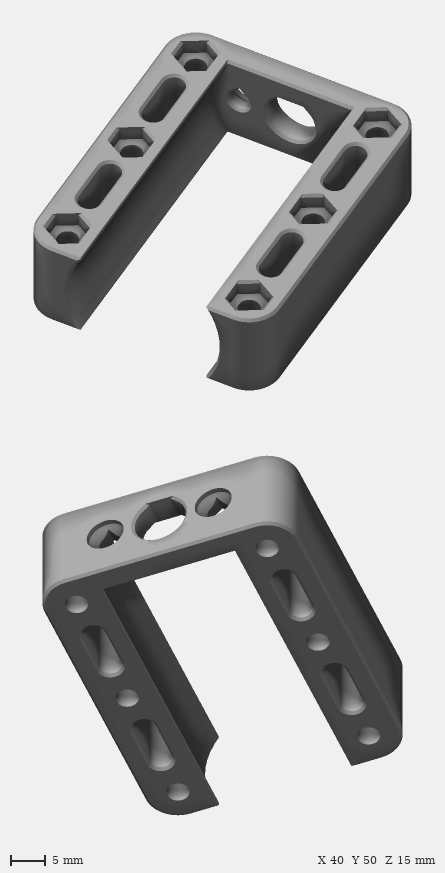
import cadquery as cq
import math

width = 40.0
length = 50.0
height = 15.0
corner_radius = 5.0
edge_chamfer = 0.4
overlap = 0.5

channel_radius = 12.55
back_wall = 4.0
wall_face_y = length / 2 - back_wall

center_hole_radius = 4.0
side_hole_radius = 1.7
side_hole_x = 8.5

head_radius = 2.9
head_recess_depth = 2.0
head_cone_depth = head_radius - side_hole_radius

arm_x = width / 2 - corner_radius
screw_pitch = length / 2 - corner_radius
screw_diameter = 3.4
nut_apothem = 2.9
nut_depth = 2.5
slot_width = 3.5
slot_length = 10.0


def body():
    """Block with rounded corners and bevelled top and bottom rims."""
    block = cq.Workplane("XY").box(width, length, height)
    return block.edges("|Z").fillet(corner_radius).faces("<Z or >Z").chamfer(edge_chamfer)


def channel():
    """Round channel along Y, open above and below, with a bevelled mouth."""
    mouth_y = -length / 2
    bore_length = length - back_wall + overlap
    bore = cq.Workplane("XZ", origin=(0, wall_face_y, 0)).circle(channel_radius).extrude(bore_length)
    mouth = cq.Workplane("XZ", origin=(0, mouth_y, 0)).circle(channel_radius + edge_chamfer)
    mouth = mouth.workplane(offset=-edge_chamfer).circle(channel_radius).loft(combine=True)
    return bore.union(mouth)


def channel_rims():
    """Bevels where the channel and back wall meet the top and bottom faces."""
    rim_base = height / 2 - edge_chamfer
    base_width = 2 * math.sqrt(channel_radius**2 - rim_base**2)
    top_width = 2 * math.sqrt(channel_radius**2 - (height / 2) ** 2) + 2 * edge_chamfer
    rim_length = length - back_wall + overlap
    rim = cq.Workplane("XY", origin=(0, wall_face_y - rim_length / 2, rim_base))
    rim = rim.rect(base_width, rim_length).workplane(offset=edge_chamfer)
    rim = rim.rect(top_width, rim_length + 2 * edge_chamfer).loft(combine=True)
    return rim.union(rim.mirror("XY"))


def teardrop(plane, radius):
    """Circle with a 45 degree point on its +Z side, drawn on an XZ workplane."""
    tangent = radius * math.sqrt(0.5)
    point = plane.moveTo(0, radius * math.sqrt(2)).lineTo(tangent, tangent)
    return point.threePointArc((0, -radius), (-tangent, tangent)).close()


def wall_hole(x, radius):
    """Teardrop hole through the back wall, bevelled on the channel side."""
    start = cq.Workplane("XZ", origin=(x, wall_face_y, 0))
    hole = teardrop(start, radius).extrude(-back_wall - overlap)
    bevel = teardrop(start, radius + edge_chamfer).workplane(offset=-edge_chamfer)
    bevel = teardrop(bevel, radius).loft(combine=True)
    return hole.union(bevel)


def center_hole():
    """Large teardrop hole, bevelled at both ends, its point cut level with its circle's top."""
    hole = wall_hole(0, center_hole_radius)
    bevel = teardrop(cq.Workplane("XZ", origin=(0, length / 2, 0)), center_hole_radius + edge_chamfer)
    bevel = teardrop(bevel.workplane(offset=edge_chamfer), center_hole_radius).loft(combine=True)
    below_flat = cq.Workplane("XY").box(width, 2 * length, height)
    below_flat = below_flat.translate((0, 0, center_hole_radius - height / 2))
    return hole.union(bevel).intersect(below_flat)


def side_hole(x):
    """Small teardrop hole with a countersunk screw head recess on the outer face."""
    cone = cq.Workplane("XZ", origin=(x, length / 2 - head_recess_depth, 0)).circle(side_hole_radius)
    cone = cone.workplane(offset=-head_cone_depth).circle(head_radius).loft(combine=True)
    recess = cq.Workplane("XZ", origin=(x, length / 2, 0)).circle(head_radius)
    recess = recess.extrude(head_recess_depth - head_cone_depth)
    return wall_hole(x, side_hole_radius).union(cone).union(recess)


def nut_outline(widened_apothem):
    """Corners of a hexagon with every other side moved out to widened_apothem."""
    corners = []
    for side in range(6):
        pair = (widened_apothem, nut_apothem)
        near, far = pair if side % 2 == 0 else pair[::-1]
        normal = math.radians(60 * side)
        along = (far - near * math.cos(math.pi / 3)) / math.sin(math.pi / 3)
        x = near * math.cos(normal) - along * math.sin(normal)
        y = near * math.sin(normal) + along * math.cos(normal)
        corners.append((x, y))
    return corners


def nut_pocket():
    """Hexagonal pocket with a screw hole, its alternate top edges bevelled, at X = Y = 0."""
    top = cq.Workplane("XY", origin=(0, 0, height / 2))
    pocket = top.polyline(nut_outline(nut_apothem)).close().extrude(-nut_depth)
    bevel = top.polyline(nut_outline(nut_apothem + edge_chamfer)).close()
    bevel = bevel.workplane(offset=-edge_chamfer).polyline(nut_outline(nut_apothem)).close()
    bevel = bevel.loft(combine=True)
    screw = top.circle(screw_diameter / 2).extrude(-height)
    return pocket.union(bevel).union(screw)


def slot():
    """Through slot along Y with bevelled top and bottom edges, at X = Y = 0."""
    top = cq.Workplane("XY", origin=(0, 0, height / 2))
    bevel = top.slot2D(slot_length + 2 * edge_chamfer, slot_width + 2 * edge_chamfer, 90)
    bevel = bevel.workplane(offset=-edge_chamfer).slot2D(slot_length, slot_width, 90).loft(combine=True)
    through = top.slot2D(slot_length, slot_width, 90).extrude(-height)
    return through.union(bevel).union(bevel.mirror("XY"))


def right_arm_cuts():
    """Nut pockets and slots of the +X arm."""
    pocket = nut_pocket()
    slotted = slot()
    cuts = cq.Workplane("XY")
    for step in (-1, 0, 1):
        cuts = cuts.add(pocket.translate((arm_x, step * screw_pitch, 0)))
    for step in (-0.5, 0.5):
        cuts = cuts.add(slotted.translate((arm_x, step * screw_pitch, 0)))
    return cuts.combine()


result = body().cut(channel()).cut(channel_rims())
result = result.cut(center_hole())
for side in (-1, 1):
    result = result.cut(side_hole(side * side_hole_x))
arm_cuts = right_arm_cuts()
result = result.cut(arm_cuts).cut(arm_cuts.mirror("YZ"))